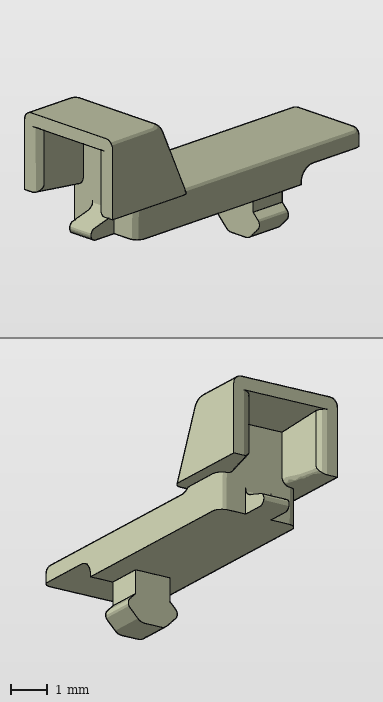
import cadquery as cq
import math

length = 10.1
edge_round = 0.25

body_width = 2.6
body_top = 1.09
body_front = 1.35
front_corner_round = 0.3
arm_underside = 0.52
arm_start = 7.72
arm_root_round = 0.45

hood_width = 3.4
hood_top = 3.39
hood_ridge = 1.97
hood_base = 3.01
ridge_round = 0.47
base_round = 0.5

mouth_half_width = 1.36
mouth_top = 3.01
throat_half_width = 1.1
throat_depth = 0.15
back_half_width = 0.78
back_top = 2.65
lip_bulge = 0.02
wall_foot_round = 0.25

clip_width = 0.83
clip_tip = 0.45
clip_tip_round = 0.18
clip_slope_angle = math.radians(15)
clip_slope_end = 1.18
clip_root_top = 0.76
clip_root_middle = (1.29, 0.6)

peg_width = 1.13
peg_length = 1.13
peg_bottom = -1.5
barb_top = -0.7
barb_reach = 0.318
barb_round = 0.19
peg_tip_round = 0.3


def extrude_side(profile, width):
    """Extrude a YZ profile symmetrically about X = 0."""
    return profile.close().extrude(width / 2, both=True)


def round_ridge(block):
    """Round the edge where the roof meets the sloped back."""
    return block.edges("|X").edges(">Z").edges(">Y").fillet(ridge_round)


def make_body():
    """Body with its thin arm, rounded on the upper and upright edges."""
    side = (
        cq.Workplane("YZ")
        .moveTo(body_front, 0)
        .lineTo(arm_start, 0)
        .lineTo(arm_start, arm_underside - arm_root_round)
        .radiusArc((arm_start + arm_root_round, arm_underside), arm_root_round)
        .lineTo(length, arm_underside)
        .lineTo(length, body_top)
        .lineTo(hood_base, body_top)
        .lineTo(hood_ridge, hood_top)
        .lineTo(body_front, hood_top)
    )
    body = extrude_side(side, body_width)
    base_edge = cq.selectors.BoxSelector(
        (-0.1, hood_base - 0.1, body_top - 0.1), (0.1, hood_base + 0.1, body_top + 0.1)
    )
    body = body.edges(base_edge).fillet(base_round)
    body = round_ridge(body)
    body = body.edges("|Z and >Y").fillet(edge_round)
    body = body.edges("|Z and <Y").fillet(front_corner_round)
    return body.edges("|X").edges(">Y").edges(">Z").fillet(edge_round)


def make_hood():
    """Hood block with a rounded ridge and rounded outer edges."""
    side = (
        cq.Workplane("YZ")
        .moveTo(0, body_top)
        .lineTo(hood_base, body_top)
        .lineTo(hood_ridge, hood_top)
        .lineTo(0, hood_top)
    )
    hood = round_ridge(extrude_side(side, hood_width))
    return hood.faces(">Z").edges(">X or <X").fillet(edge_round)


def make_cavity():
    """Tapered hood cavity with flared lips at its mouth."""
    lip_middle_x = (mouth_half_width + throat_half_width) / 2 - lip_bulge
    lip_middle_y = throat_depth / 2 - lip_bulge
    plan = (
        cq.Workplane("XY")
        .moveTo(-mouth_half_width, 0)
        .threePointArc((-lip_middle_x, lip_middle_y), (-throat_half_width, throat_depth))
        .lineTo(-back_half_width, body_front)
        .lineTo(back_half_width, body_front)
        .lineTo(throat_half_width, throat_depth)
        .threePointArc((lip_middle_x, lip_middle_y), (mouth_half_width, 0))
        .close()
        .extrude(hood_top)
    )
    ceiling = (
        cq.Workplane("YZ")
        .moveTo(0, 0)
        .lineTo(body_front, 0)
        .lineTo(body_front, back_top)
        .lineTo(0, mouth_top)
    )
    return plan.intersect(extrude_side(ceiling, hood_width))


def make_foot_round():
    """Cutter that rounds the lower inner edge of the +X cavity wall."""
    slope = (throat_half_width - back_half_width) / (body_front - throat_depth)
    mouth_x = throat_half_width + slope * throat_depth
    inset = wall_foot_round * (1 - math.sqrt(0.5))

    def section(plane, x):
        return (
            plane.moveTo(x, body_top)
            .lineTo(x, body_top + wall_foot_round)
            .threePointArc((x + inset, body_top + inset), (x + wall_foot_round, body_top))
            .close()
        )

    mouth = section(cq.Workplane("XZ"), mouth_x)
    back = section(mouth.workplane(offset=-body_front), back_half_width)
    return back.loft(ruled=True)


def make_clip():
    """Front clip with a curved root, sloped top and rounded tip."""
    tip_center_y = clip_tip + clip_tip_round
    slope_start_y = tip_center_y - clip_tip_round * math.sin(clip_slope_angle)
    slope_start_z = clip_tip_round * (1 + math.cos(clip_slope_angle))
    slope_end_z = slope_start_z + (clip_slope_end - slope_start_y) * math.tan(clip_slope_angle)
    side = (
        cq.Workplane("YZ")
        .moveTo(body_front, 0)
        .lineTo(tip_center_y, 0)
        .threePointArc((clip_tip, clip_tip_round), (slope_start_y, slope_start_z))
        .lineTo(clip_slope_end, slope_end_z)
        .threePointArc(clip_root_middle, (body_front, clip_root_top))
    )
    return extrude_side(side, clip_width)


def make_peg():
    """Downward peg with a 45 degree barb on each side."""
    stem = peg_width / 2
    barb = stem + barb_reach
    barb_z = barb_top - barb_reach
    tip = barb - (barb_z - peg_bottom)
    right_side = [(stem, 0), (stem, barb_top), (barb, barb_z), (tip, peg_bottom)]
    left_side = [(-x, z) for x, z in reversed(right_side)]
    peg = (
        cq.Workplane("XZ", origin=(0, arm_start, 0))
        .polyline(right_side + left_side)
        .close()
        .extrude(peg_length)
    )
    peg = peg.edges("|Y").edges(">X or <X").fillet(barb_round)
    return peg.faces("<Z").edges("|Y").fillet(peg_tip_round)


foot_round = make_foot_round()
hood = make_hood().cut(make_cavity()).cut(foot_round).cut(foot_round.mirror("YZ"))
result = hood.union(make_body()).union(make_clip()).union(make_peg())